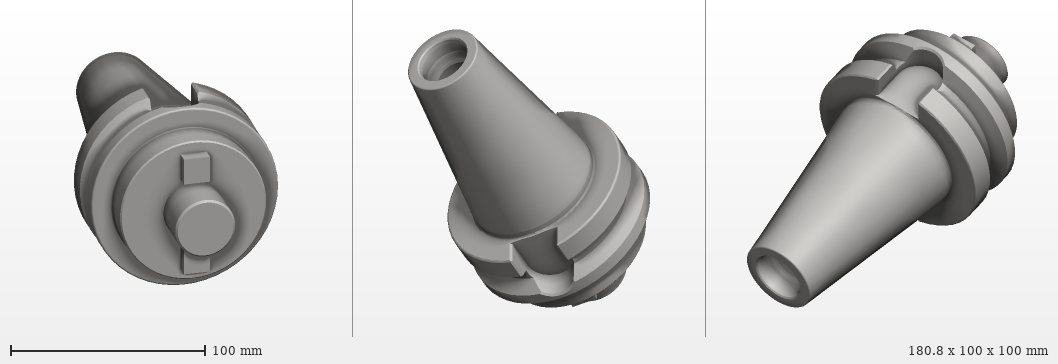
import cadquery as cq
import math

total_length = 180.8
flange_start = 104.7
flange_end = 140.0
body_end = 156.8

gauge_length = 101.8
gauge_radius = 34.9
taper_ratio = 7 / 24
taper_end = 100.9
shank_round = 0.9
shank_neck_radius = 34.7
shank_neck_start = 102.0
shank_fillet = 1.0

flange_diameter = 100.0
flange_radius = flange_diameter / 2
flange_round = 1.0
groove_floor_radius = 42.3
groove_start = 117.3
groove_floor_start = 121.5
groove_floor_end = 128.0
groove_end = 132.5

body_radius = 39.0
body_fillet = 0.7
body_chamfer = 0.7
pilot_diameter = 32.0
pilot_radius = pilot_diameter / 2
pilot_chamfer = 1.0

slot_half_width = 12.7
slot_floor_height = 35.3
slot_end = 136.0
slot_chamfer = 1.0

key_width = 14.0
key_inner_height = 18.5
key_outer_height = 32.5
key_end = 163.6

mouth_radius = 14.5
mouth_chamfer = 0.7
mouth_depth = 3.0
counterbore_radius = 13.4
counterbore_depth = 9.4
lead_in_radius = 13.0
lead_in_depth = 10.3
thread_radius = 12.5
thread_depth = 12.3
shoulder_radius = 12.0
shoulder_depth = 13.4
core_radius = 10.1
core_start = 15.0
bore_depth = 54.2
drill_tip_angle = 118.0


def taper_radius(x):
    """Radius of the taper at station x."""
    return gauge_radius - (gauge_length - x) * taper_ratio / 2


def quarter_arc(profile, start, end, center):
    """Continue a profile with a line to start, then a quarter circle about center to end."""
    middle = [
        mid + (first + last - 2 * mid) * math.sqrt(0.5)
        for first, last, mid in zip(start, end, center)
    ]
    return profile.lineTo(*start).threePointArc(tuple(middle), end)


def rounded_edge(profile, face_x, inward, radius, size, from_face):
    """Round the outer edge between an end face and a cylinder; inward is the X sense into the metal."""
    on_face = (face_x, radius - size)
    on_cylinder = (face_x + inward * size, radius)
    center = (face_x + inward * size, radius - size)
    if from_face:
        return quarter_arc(profile, on_face, on_cylinder, center)
    return quarter_arc(profile, on_cylinder, on_face, center)


def turned_body():
    """Outer profile revolved about the X axis."""
    profile = cq.Workplane("XY").moveTo(0, 0)

    profile = rounded_edge(profile, 0, 1, taper_radius(shank_round), shank_round, True)
    profile = profile.lineTo(taper_end, taper_radius(taper_end))
    profile = profile.lineTo(shank_neck_start, shank_neck_radius)
    profile = quarter_arc(
        profile,
        (flange_start - shank_fillet, shank_neck_radius),
        (flange_start, shank_neck_radius + shank_fillet),
        (flange_start - shank_fillet, shank_neck_radius + shank_fillet),
    )

    profile = rounded_edge(profile, flange_start, 1, flange_radius, flange_round, True)
    profile = (
        profile.lineTo(groove_start, flange_radius)
        .lineTo(groove_floor_start, groove_floor_radius)
        .lineTo(groove_floor_end, groove_floor_radius)
        .lineTo(groove_end, flange_radius)
    )
    profile = rounded_edge(profile, flange_end, -1, flange_radius, flange_round, False)

    profile = quarter_arc(
        profile,
        (flange_end, body_radius + body_fillet),
        (flange_end + body_fillet, body_radius),
        (flange_end + body_fillet, body_radius + body_fillet),
    )
    profile = (
        profile.lineTo(body_end - body_chamfer, body_radius)
        .lineTo(body_end, body_radius - body_chamfer)
        .lineTo(body_end, pilot_radius)
        .lineTo(total_length - pilot_chamfer, pilot_radius)
        .lineTo(total_length, pilot_radius - pilot_chamfer)
        .lineTo(total_length, 0)
        .close()
    )
    return profile.revolve(360, (0, 0, 0), (1, 0, 0))


def draw_bar_bore():
    """Chamfered mouth, stepped counterbore and core hole ending in a drill tip."""
    tip_length = core_radius / math.tan(math.radians(drill_tip_angle / 2))
    profile = (
        cq.Workplane("XY")
        .moveTo(0, 0)
        .lineTo(0, mouth_radius)
        .lineTo(mouth_chamfer, mouth_radius - mouth_chamfer)
        .lineTo(mouth_depth, counterbore_radius)
        .lineTo(counterbore_depth, counterbore_radius)
        .lineTo(lead_in_depth, lead_in_radius)
        .lineTo(thread_depth, thread_radius)
        .lineTo(shoulder_depth, shoulder_radius)
        .lineTo(core_start, core_radius)
        .lineTo(bore_depth, core_radius)
        .lineTo(bore_depth + tip_length, 0)
        .close()
    )
    return profile.revolve(360, (0, 0, 0), (1, 0, 0))


def drive_slot(side):
    """Round-ended slot with a flared mouth; side is +1 for the top, -1 for the bottom."""
    arc_center = slot_end - slot_half_width
    mouth_half_width = slot_half_width + slot_chamfer
    flare_end = flange_start + slot_chamfer
    return (
        cq.Workplane("XY", origin=(0, 0, side * slot_floor_height))
        .moveTo(flange_start, -mouth_half_width)
        .lineTo(flare_end, -slot_half_width)
        .lineTo(arc_center, -slot_half_width)
        .threePointArc((slot_end, 0), (arc_center, slot_half_width))
        .lineTo(flare_end, slot_half_width)
        .lineTo(flange_start, mouth_half_width)
        .close()
        .extrude(side * flange_radius)
    )


def drive_key(side):
    """Rectangular key standing on the body face; side is +1 for the top, -1 for the bottom."""
    length = key_end - body_end
    height = key_outer_height - key_inner_height
    middle = (key_outer_height + key_inner_height) / 2
    return cq.Workplane("XY").box(length, key_width, height).translate(
        (body_end + length / 2, 0, side * middle)
    )


def slot_rim(side, x_start, x_end):
    """Selector for the slot edges on the flange rim between two X stations."""
    reach = slot_half_width + slot_chamfer
    return cq.selectors.BoxSelector(
        (x_start, -reach, side * groove_floor_radius),
        (x_end, reach, side * (flange_radius + slot_chamfer)),
    )


result = turned_body().cut(draw_bar_bore())
front_rim = (flange_start + slot_chamfer, groove_start)
rear_rim = (groove_end, flange_end)
for side in (1, -1):
    result = result.cut(drive_slot(side))
    for rim_start, rim_end in (front_rim, rear_rim):
        result = result.edges(slot_rim(side, rim_start, rim_end)).chamfer(slot_chamfer)
    result = result.union(drive_key(side))